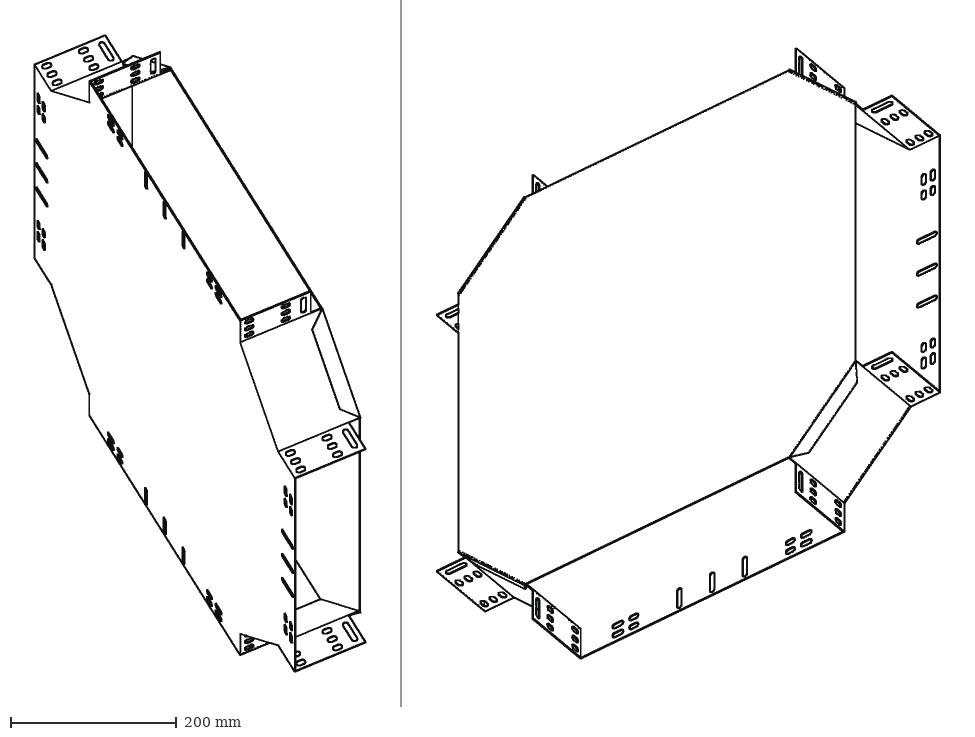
import cadquery as cq
import math

SPAN = 691.0
DEPTH = 111.0
ARM_WIDTH = 401.0
BODY_SPAN = 603.0
SHEET = 1.5

TAB_HEIGHT = 96.0

FLANGE_DEPTH = 21.0
FLANGE_TAPER = 19.5

SLOT_WIDTH = 7.0
LONG_SLOT = 30.5

LONG_SLOT_INSET = 19.5
LONG_SLOT_PITCH = 50.0
CROSS_SLOTS = [(119.0, 14.0), (143.0, 16.5)]
CROSS_SLOT_INSET = 17.0
CROSS_SLOT_PITCH = 14.0

TAB_SLOT_INSET = 22.0
TAB_SLOT_PITCH = 14.0
TAB_SLOT_LENGTH = 12.0
TAB_SLOT_HEIGHTS = (12.5, 62.0)
TAB_LONG_SLOT_HEIGHT = 86.5

TIP = SPAN / 2
ARM = ARM_WIDTH / 2
BODY = BODY_SPAN / 2
FRONT = -DEPTH / 2
BACK = DEPTH / 2
COVER_FRONT = BACK - SHEET
WALL_LENGTH = (BODY - ARM) * math.sqrt(2)
WALL_MIDDLE = (BODY + ARM) / 2
MITRE = SHEET * math.tan(math.pi / 8)
QUARTER_TURNS = (0, 90, 180, 270)


def about_y(shape, angle):
    """Turn a shape about the Y axis through the middle of the part."""
    return shape.rotate((0, 0, 0), (0, 1, 0), angle)


def prism_y(points, y_start, y_end):
    """Extrude an outline of (x, z) points along Y."""
    plane = cq.Plane(origin=(0, y_start, 0), xDir=(1, 0, 0), normal=(0, -1, 0))
    return cq.Workplane(plane).polyline(points).close().extrude(y_start - y_end)


def octagon(corner_offset):
    """Octagon outline whose 45 degree sides are moved outward by corner_offset."""
    side = ARM + corner_offset * math.sqrt(2)
    return [
        (-side, BODY), (side, BODY), (BODY, side), (BODY, -side),
        (side, -BODY), (-side, -BODY), (-BODY, -side), (-BODY, side),
    ]


def base_plate():
    """Flat octagon with the four arms."""
    octagonal_middle = prism_y(octagon(0), FRONT, FRONT + SHEET)
    arm_x = cq.Workplane("XY").box(SPAN, SHEET, ARM_WIDTH)
    arm_z = cq.Workplane("XY").box(ARM_WIDTH, SHEET, SPAN)
    arms = arm_x.union(arm_z).translate((0, FRONT + SHEET / 2, 0))
    return octagonal_middle.union(arms)


def corner_side():
    """Corner wall with its two tabs, at the +X +Z corner."""
    inner = ARM - SHEET
    wall = [
        (BODY, ARM), (ARM, BODY), (inner, BODY - MITRE), (BODY - MITRE, inner),
    ]
    tab_x = [(BODY, ARM), (BODY - MITRE, inner), (TIP, inner), (TIP, ARM)]
    tab_z = [(z, x) for x, z in tab_x]
    tab_top = FRONT + TAB_HEIGHT
    side = prism_y(wall, FRONT, COVER_FRONT)
    side = side.union(prism_y(tab_x, FRONT, tab_top))
    return side.union(prism_y(tab_z, FRONT, tab_top))


def plate_slots():
    """Cutters for the slots at the +Z arm end of the base plate."""
    long_places = [(i * LONG_SLOT_PITCH, TIP - LONG_SLOT_INSET) for i in (-1, 0, 1)]
    front_plane = cq.Workplane("XZ", origin=(0, FRONT + SHEET, 0))
    cutters = front_plane.pushPoints(long_places).slot2D(LONG_SLOT, SLOT_WIDTH, 90).extrude(SHEET)
    for offset, length in CROSS_SLOTS:
        places = [
            (side * offset, TIP - CROSS_SLOT_INSET + row * CROSS_SLOT_PITCH / 2)
            for side in (-1, 1)
            for row in (-1, 1)
        ]
        cross_slots = front_plane.pushPoints(places).slot2D(length, SLOT_WIDTH).extrude(SHEET)
        cutters = cutters.union(cross_slots)
    return cutters


def tab_slots():
    """Cutters for the slots of the two tabs along X on the +X side."""
    middle = TIP - TAB_SLOT_INSET
    plane = cq.Workplane("XY", origin=(0, 0, -ARM))
    places = [
        (middle + i * TAB_SLOT_PITCH, FRONT + height)
        for i in (-1, 0, 1)
        for height in TAB_SLOT_HEIGHTS
    ]
    short_slots = plane.pushPoints(places).slot2D(TAB_SLOT_LENGTH, SLOT_WIDTH, 90).extrude(ARM_WIDTH)
    long_place = (middle, FRONT + TAB_LONG_SLOT_HEIGHT)
    long_slot = plane.pushPoints([long_place]).slot2D(LONG_SLOT, SLOT_WIDTH).extrude(ARM_WIDTH)
    return short_slots.union(long_slot)


def make_base():
    """Base: plate, corner walls and tabs, with all the slots."""
    base = base_plate()
    for angle in QUARTER_TURNS:
        base = base.union(about_y(corner_side(), angle))
    for angle in QUARTER_TURNS:
        base = base.cut(about_y(plate_slots(), angle))
        base = base.cut(about_y(tab_slots(), angle))
    return base


def corner_flange():
    """Tapered flange lying on the outside of the corner wall at the +X +Z corner."""
    plane = cq.Plane(origin=(WALL_MIDDLE, BACK, WALL_MIDDLE), xDir=(1, 0, -1), normal=(1, 0, 1))
    root = WALL_LENGTH / 2
    free_edge = root - FLANGE_TAPER
    outline = [
        (-root, 0), (root, 0), (free_edge, -FLANGE_DEPTH), (-free_edge, -FLANGE_DEPTH),
    ]
    return cq.Workplane(plane).polyline(outline).close().extrude(SHEET)


def make_cover():
    """Cover: flat octagon with a flange over each corner wall."""
    cover = prism_y(octagon(SHEET), COVER_FRONT, BACK)
    for angle in QUARTER_TURNS:
        cover = cover.union(about_y(corner_flange(), angle))
    return cover


base = make_base()
cover = make_cover()
result = cq.Compound.makeCompound([base.val(), cover.val()])